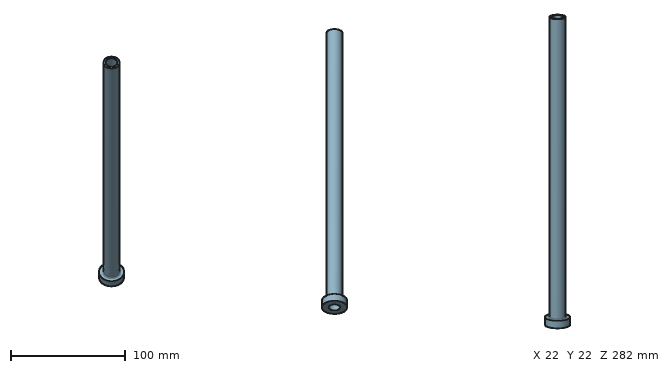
import cadquery as cq

total_length = 282.0
head_diameter = 22.0
head_height = 7.0
tube_diameter = 14.0
bore_diameter = 10.0
root_fillet_radius = 0.7

head = cq.Workplane("XY").circle(head_diameter / 2).extrude(head_height)
tube = cq.Workplane("XY").circle(tube_diameter / 2).extrude(total_length)
sleeve = head.union(tube)

root_edge = cq.selectors.RadiusNthSelector(0)
sleeve = sleeve.faces(cq.selectors.NearestToPointSelector((0, 0, head_height))).edges(root_edge)
sleeve = sleeve.fillet(root_fillet_radius)

bore = cq.Workplane("XY").circle(bore_diameter / 2).extrude(total_length)
result = sleeve.cut(bore)